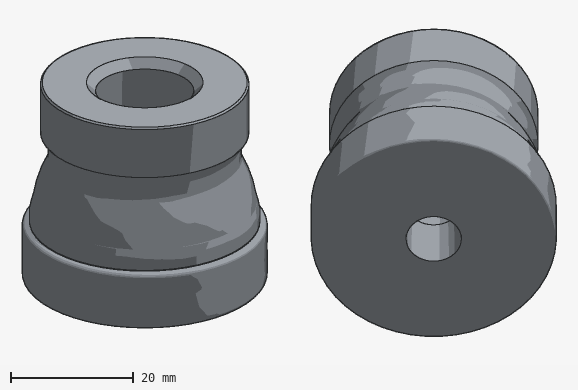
import cadquery as cq
import math

base_radius = 20.0
shoulder_z = 9.92
shoulder_round = 0.8
shoulder_sag = 0.1
underside_round = 0.6
through_hole_radius = 9.0 / 2

split_z = 10.05
total_height = 35.0
seat_radius = 18.8
seat_top_z = 11.6
seat_cone_radius = 18.7
seat_cone_top_radius = 18.4
seat_cone_top_z = 13.43
seat_cone_bottom_z = 12.35
dome_bottom_radius = 18.36
dome_bottom_z = 13.55
dome_middle_radius = 17.55
dome_middle_z = 17.0
dome_top_radius = 15.95
dome_top_z = 20.8
neck_radius = 31.5 / 2
neck_bottom_z = 21.7
neck_blend_radius = 2.2
neck_top_z = 23.75
flare_height = 0.75
head_radius = 34.0 / 2
head_bottom_z = 26.0
head_chamfer = 0.3

bore_radius = 16.01 / 2
bore_floor_z = 22.2
bore_floor_round = 0.55
bore_mouth_chamfer = 1.5

ROUND_MIDDLE = 1 - math.cos(math.pi / 4)


def revolve_about_z(profile):
    """Turn a closed profile of (radius, height) points into a solid of revolution."""
    return profile.revolve(360, (0, 0, 0), (0, 1, 0))


def make_base():
    """Disc whose whole outer wall is one smooth curve, with a short collar under the nose."""
    shoulder_top_z = shoulder_z - shoulder_sag
    shoulder_bottom_z = shoulder_top_z - shoulder_round
    shoulder_middle_offset = ROUND_MIDDLE * shoulder_round
    underside_middle_offset = ROUND_MIDDLE * underside_round
    outward = (1, 0)
    upward = (0, 1)
    inward = (-1, 0)
    wall_stops = [
        ((base_radius - underside_round, 0), outward),
        ((base_radius - underside_middle_offset, underside_middle_offset), (1, 1)),
        ((base_radius, underside_round), upward),
        ((base_radius, shoulder_bottom_z), upward),
        ((base_radius - shoulder_middle_offset, shoulder_top_z - shoulder_middle_offset), (-1, 1)),
        ((base_radius - shoulder_round, shoulder_top_z), inward),
        ((seat_radius, shoulder_z), inward),
    ]
    wall_points = [point for point, direction in wall_stops]
    wall_directions = [direction for point, direction in wall_stops]
    profile = (
        cq.Workplane("XZ")
        .moveTo(through_hole_radius, 0)
        .lineTo(base_radius - underside_round, 0)
        .spline(wall_points, tangents=wall_directions)
        .lineTo(seat_radius, split_z)
        .lineTo(through_hole_radius, split_z)
        .close()
    )
    return revolve_about_z(profile)


def make_nose():
    """Head, neck, dome and conical seat in one piece, with the stepped bore down its axis."""
    flare_bottom_z = head_bottom_z - flare_height
    floor_round_offset = ROUND_MIDDLE * bore_floor_round
    profile = (
        cq.Workplane("XZ")
        .moveTo(through_hole_radius, split_z)
        .lineTo(seat_radius, split_z)
        .lineTo(seat_radius, seat_top_z)
        .tangentArcPoint((seat_cone_radius, seat_cone_bottom_z), relative=False)
        .lineTo(seat_cone_top_radius, seat_cone_top_z)
        .tangentArcPoint((dome_bottom_radius, dome_bottom_z), relative=False)
        .threePointArc((dome_middle_radius, dome_middle_z), (dome_top_radius, dome_top_z))
        .radiusArc((neck_radius, neck_bottom_z), neck_blend_radius)
        .lineTo(neck_radius, neck_top_z)
        .tangentArcPoint((head_radius - flare_height, flare_bottom_z), relative=False)
        .lineTo(head_radius, head_bottom_z)
        .lineTo(head_radius, total_height - head_chamfer)
        .lineTo(head_radius - head_chamfer, total_height)
        .lineTo(bore_radius + bore_mouth_chamfer, total_height)
        .lineTo(bore_radius, total_height - bore_mouth_chamfer)
        .lineTo(bore_radius, bore_floor_z + bore_floor_round)
        .threePointArc(
            (bore_radius - floor_round_offset, bore_floor_z + floor_round_offset),
            (bore_radius - bore_floor_round, bore_floor_z),
        )
        .lineTo(through_hole_radius, bore_floor_z)
        .close()
    )
    return revolve_about_z(profile)


base = make_base()
nose = make_nose()
result = cq.Compound.makeCompound([base.val(), nose.val()])